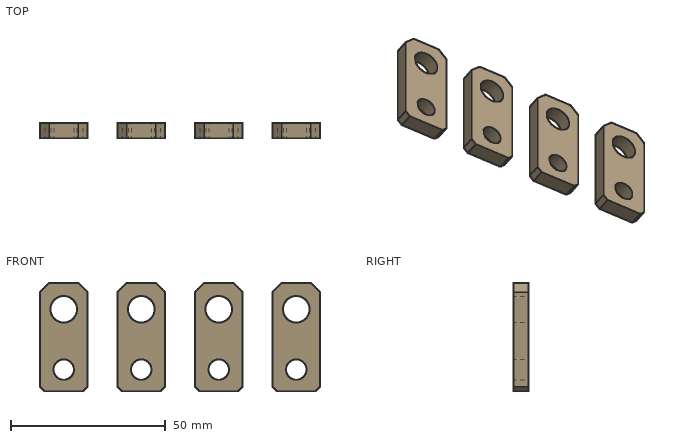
import cadquery as cq

row_length = 90.5
plate_count = 4
plate_width = 15.5
plate_height = 35.0
plate_thickness = 5.0
plate_pitch = (row_length - plate_width) / (plate_count - 1)

top_chamfer = 3.0
bottom_chamfer = 1.5

large_hole_diameter = 8.5
large_hole_below_top = 8.5
small_hole_diameter = 6.5
small_hole_above_bottom = 7.1


def plate_blank():
    """Upright plate centred on X and Y, standing on Z = 0, with cut corners."""
    blank = cq.Workplane("XY").box(
        plate_width, plate_thickness, plate_height, centered=(True, True, False)
    )
    blank = blank.faces(">Z").edges("|Y").chamfer(top_chamfer)
    return blank.faces("<Z").edges("|Y").chamfer(bottom_chamfer)


def hole_cutter(diameter, height):
    """Cylinder along Y that passes through the plate at the given height."""
    return (
        cq.Workplane("XZ", origin=(0, plate_thickness / 2, 0))
        .center(0, height)
        .circle(diameter / 2)
        .extrude(plate_thickness)
    )


def link_plate(center_x):
    """One finished plate at its place in the row."""
    large_hole = hole_cutter(large_hole_diameter, plate_height - large_hole_below_top)
    small_hole = hole_cutter(small_hole_diameter, small_hole_above_bottom)
    plate = plate_blank().cut(large_hole).cut(small_hole)
    return plate.translate((center_x, 0, 0))


first_center_x = -(row_length - plate_width) / 2
link_plates = [link_plate(first_center_x + i * plate_pitch) for i in range(plate_count)]

result = cq.Compound.makeCompound([plate.solids().val() for plate in link_plates])